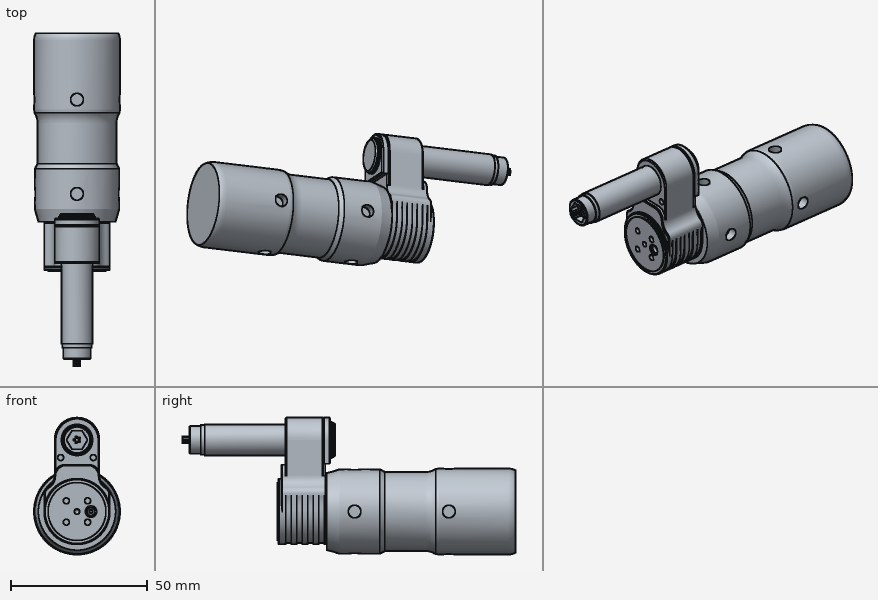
import cadquery as cq
import math

TOTAL_LENGTH = 121.7
TOTAL_HEIGHT = 50.1

SLEEVE_RADIUS = 31.5 / 2
SLEEVE_END_RADIUS = 15.1
REAR_ROUND_AT = 2.5
SLEEVE_FRONT_AT = 28.0
SHOULDER_AT = 29.2
SHOULDER_RADIUS = 15.6
WAIST_RADIUS = 14.5
WAIST_AT = 32.9
COLLAR_AT = 47.7
COLLAR_RADIUS = 15.5
COLLAR_BEVEL_END = 49.5
NOSE_AT = 64.4
NOSE_END_AT = 69.0
NOSE_END_RADIUS = 14.1
SIDE_HOLE_RADIUS = 2.3
SIDE_HOLE_DEPTH = 3.7
SIDE_HOLES_AT = (24.3, 58.8)

HEAD_RADIUS = 12.0
NECK_RADIUS = 11.5
HEAD_BACK_AT = 69.5
COVER_BACK_AT = 84.1
HEAD_FRONT_AT = 85.7
COVER_BEVEL = 0.4
SHOULDER_LOW_Z = 6.6
SHOULDER_EDGE_X = 10.7
ARM_FOOT_Z = 13.1
PAD_TOP_Z = 17.2
PAD_HALF_FLAT = 4.1

GROOVE_COUNT = 4
GROOVE_FIRST_AT = 70.0
GROOVE_PITCH = 4.0
GROOVE_WIDTH = 2.0
GROOVE_FLOOR_RADIUS = 11.6
GROOVE_RUNOUT_Z = 2.5
GROOVE_TOP_Z = 5.8

DISC_FRONT_AT = 86.8
DISC_FACE_RADIUS = 10.6
FACE_FRONT_AT = 87.1
DISC_BEVEL = 0.4
FACE_HOLE_OFFSET = 3.9
FACE_HOLE_RADIUS = 1.1
FACE_HOLE_DEPTH = 1.8
CENTRE_HOLE_RADIUS = 1.0
SOCKET_X = 5.1
SOCKET_RADIUS = 2.1
SOCKET_DEPTH = 0.7
SOCKET_CONE_RADIUS = 1.5
SOCKET_PILOT_RADIUS = 0.6
SOCKET_CONE_DEPTH = 1.0

ARM_RADIUS = 16.4 / 2
HANDLE_Z = TOTAL_HEIGHT - SLEEVE_RADIUS - ARM_RADIUS
ARM_BACK_AT = 70.3
ARM_BEVEL = 0.5
SEAM_DEPTH = 0.4
LID_BACK_AT = 67.7
LID_BOTTOM_Z = 17.4
ARM_HOLE_X = 6.0
ARM_HOLE_Z = 19.7
ARM_HOLE_RADIUS = 1.1
ARM_HOLE_DEPTH = 2.4

CAP_BACK_AT = 66.0
CAP_RADIUS = 6.3
CAP_BEVEL = 0.6
CAP_STEP_AT = 67.2
CAP_STEP_RADIUS = 6.7
TUBE_RADIUS = 5.7
TUBE_FRONT_AT = 113.5
RING_RADIUS = 5.5
RING_FRONT_AT = 115.0
PLUG_RADIUS = 5.1
PLUG_FRONT_AT = 119.1
PLUG_BEVEL = 0.4
PLUG_SOCKET_WIDTH = 7.7
PLUG_SOCKET_DEPTH = 3.0
PIN_COUNT = 5
PIN_RADIUS = 0.4
PIN_CIRCLE_RADIUS = 1.0


def section_at(distance):
    """Workplane square to the barrel axis; extruding it runs toward the pins."""
    return cq.Workplane("XZ", origin=(0, -distance, 0))


def turned(profile):
    """Solid of revolution about Y from (radius, distance) points."""
    points = [(radius, -distance) for radius, distance in profile]
    return cq.Workplane("XY").polyline(points).close().revolve(360, (0, 0), (0, 1))


def make_barrel():
    barrel = (
        cq.Workplane("XY")
        .moveTo(0, -NOSE_END_AT)
        .lineTo(NOSE_END_RADIUS, -NOSE_END_AT)
        .lineTo(COLLAR_RADIUS, -NOSE_AT)
        .lineTo(COLLAR_RADIUS, -COLLAR_BEVEL_END)
        .lineTo(WAIST_RADIUS, -COLLAR_AT)
        .lineTo(WAIST_RADIUS, -WAIST_AT)
        .tangentArcPoint((SHOULDER_RADIUS, -SHOULDER_AT), relative=False)
        .lineTo(SLEEVE_RADIUS, -SLEEVE_FRONT_AT)
        .lineTo(SLEEVE_RADIUS, -REAR_ROUND_AT)
        .tangentArcPoint((SLEEVE_END_RADIUS, 0), relative=False)
        .lineTo(0, 0)
        .close()
        .revolve(360, (0, 0), (0, 1))
    )
    drill = (
        cq.Workplane("XY")
        .workplane(offset=COLLAR_RADIUS - SIDE_HOLE_DEPTH)
        .pushPoints([(0, -distance) for distance in SIDE_HOLES_AT])
        .circle(SIDE_HOLE_RADIUS)
        .extrude(2 * SIDE_HOLE_DEPTH)
    )
    for quarter in range(4):
        barrel = barrel.cut(drill.rotate((0, 0, 0), (0, 1, 0), 90 * quarter))
    return barrel


def half_head_outline(distance):
    """Right half of the head up to the arm foot: round bottom, flat side, S-shaped shoulder."""
    half_turn = math.atan((HEAD_RADIUS - ARM_RADIUS) / (ARM_FOOT_Z - SHOULDER_LOW_Z))
    edge_z = SHOULDER_LOW_Z + (HEAD_RADIUS - SHOULDER_EDGE_X) / math.tan(half_turn)
    return (
        section_at(distance)
        .moveTo(0, -HEAD_RADIUS)
        .radiusArc((HEAD_RADIUS, 0), -HEAD_RADIUS)
        .lineTo(HEAD_RADIUS, SHOULDER_LOW_Z)
        .tangentArcPoint((SHOULDER_EDGE_X, edge_z), relative=False)
        .tangentArcPoint((ARM_RADIUS, ARM_FOOT_Z), relative=False)
    )


def with_mirror(half):
    return half.union(half.mirror("YZ"))


def make_head():
    half_head = half_head_outline(HEAD_BACK_AT).lineTo(0, ARM_FOOT_Z).close()
    head = with_mirror(half_head.extrude(COVER_BACK_AT - HEAD_BACK_AT))
    neck = section_at(NOSE_END_AT).circle(NECK_RADIUS).extrude(HEAD_BACK_AT - NOSE_END_AT)
    return head.union(neck).cut(make_grooves())


def make_cover():
    """Front plate of the head, with a round-cornered pad rising over the arm."""
    half_cover = (
        half_head_outline(COVER_BACK_AT)
        .tangentArcPoint((PAD_HALF_FLAT, PAD_TOP_Z), relative=False)
        .lineTo(0, PAD_TOP_Z)
        .close()
        .extrude(HEAD_FRONT_AT - COVER_BACK_AT)
    )
    return with_mirror(half_cover).faces("<Y").chamfer(COVER_BEVEL)


def make_grooves():
    """Grooves around the round bottom that run out to the surface on the flat sides."""
    outer_x = 2 * HEAD_RADIUS
    grooves = cq.Workplane("XY")
    for index in range(GROOVE_COUNT):
        half_groove = (
            section_at(GROOVE_FIRST_AT + index * GROOVE_PITCH)
            .moveTo(0, -GROOVE_FLOOR_RADIUS)
            .radiusArc((GROOVE_FLOOR_RADIUS, 0), -GROOVE_FLOOR_RADIUS)
            .lineTo(GROOVE_FLOOR_RADIUS, GROOVE_RUNOUT_Z)
            .tangentArcPoint((HEAD_RADIUS, GROOVE_TOP_Z), relative=False)
            .lineTo(outer_x, GROOVE_TOP_Z)
            .lineTo(outer_x, -outer_x)
            .lineTo(0, -outer_x)
            .close()
            .extrude(GROOVE_WIDTH)
        )
        grooves = grooves.union(with_mirror(half_groove))
    return grooves


def make_disc():
    disc_back_at = HEAD_FRONT_AT - COVER_BEVEL
    disc = section_at(disc_back_at).circle(HEAD_RADIUS).extrude(DISC_FRONT_AT - disc_back_at)
    disc = disc.faces("<Y").chamfer(DISC_BEVEL)
    face = section_at(DISC_FRONT_AT).circle(DISC_FACE_RADIUS).extrude(FACE_FRONT_AT - DISC_FRONT_AT)
    return disc.union(face)


def make_disc_holes():
    screw_holes = (
        section_at(FACE_FRONT_AT)
        .rect(2 * FACE_HOLE_OFFSET, 2 * FACE_HOLE_OFFSET, forConstruction=True)
        .vertices()
        .circle(FACE_HOLE_RADIUS)
        .extrude(-FACE_HOLE_DEPTH)
    )
    centre_hole = turned([
        (0, FACE_FRONT_AT - CENTRE_HOLE_RADIUS),
        (CENTRE_HOLE_RADIUS, FACE_FRONT_AT),
        (0, FACE_FRONT_AT),
    ])
    counterbore_at = FACE_FRONT_AT - SOCKET_DEPTH
    cone_at = counterbore_at - SOCKET_CONE_DEPTH
    pilot_at = cone_at - SOCKET_DEPTH
    socket = turned([
        (0, pilot_at),
        (SOCKET_PILOT_RADIUS, pilot_at),
        (SOCKET_PILOT_RADIUS, cone_at),
        (SOCKET_CONE_RADIUS, counterbore_at),
        (SOCKET_RADIUS, counterbore_at),
        (SOCKET_RADIUS, FACE_FRONT_AT),
        (0, FACE_FRONT_AT),
    ])
    return screw_holes.union(centre_hole).union(socket.translate((SOCKET_X, 0, 0)))


def arch(back_at, front_at, bottom_z):
    """Plate as wide as the arm with a half-round top centred on the handle."""
    return (
        section_at(back_at)
        .moveTo(-ARM_RADIUS, bottom_z)
        .lineTo(ARM_RADIUS, bottom_z)
        .lineTo(ARM_RADIUS, HANDLE_Z)
        .radiusArc((-ARM_RADIUS, HANDLE_Z), -ARM_RADIUS)
        .close()
        .extrude(front_at - back_at)
    )


def make_arm():
    """Upright carrying the handle; bevels leave a V-shaped seam between it and its rear lid."""
    foot = (
        section_at(HEAD_BACK_AT)
        .center(0, (ARM_FOOT_Z + LID_BOTTOM_Z) / 2)
        .rect(2 * (ARM_RADIUS - SEAM_DEPTH), LID_BOTTOM_Z - ARM_FOOT_Z)
        .extrude(ARM_BACK_AT - HEAD_BACK_AT)
    )
    arm = arch(ARM_BACK_AT, COVER_BACK_AT, ARM_FOOT_Z)
    arm = arm.faces("<Y").edges("not <Z").chamfer(ARM_BEVEL)
    arm = arm.faces(">Y").edges("not <Z").chamfer(SEAM_DEPTH)
    lid = arch(LID_BACK_AT, ARM_BACK_AT, LID_BOTTOM_Z)
    lid = lid.faces(">Y").chamfer(ARM_BEVEL)
    lid = lid.faces("<Y").edges("not <Z").chamfer(SEAM_DEPTH)
    screw_holes = (
        section_at(COVER_BACK_AT)
        .pushPoints([(-ARM_HOLE_X, ARM_HOLE_Z), (ARM_HOLE_X, ARM_HOLE_Z)])
        .circle(ARM_HOLE_RADIUS)
        .extrude(-ARM_HOLE_DEPTH)
    )
    return arm.union(foot).union(lid).cut(screw_holes)


def make_handle():
    handle = turned([
        (0, CAP_BACK_AT),
        (CAP_RADIUS - CAP_BEVEL, CAP_BACK_AT),
        (CAP_RADIUS, CAP_BACK_AT + CAP_BEVEL),
        (CAP_RADIUS, CAP_STEP_AT),
        (CAP_STEP_RADIUS, CAP_STEP_AT),
        (CAP_STEP_RADIUS, LID_BACK_AT),
        (TUBE_RADIUS, LID_BACK_AT),
        (TUBE_RADIUS, TUBE_FRONT_AT),
        (RING_RADIUS, TUBE_FRONT_AT),
        (RING_RADIUS, RING_FRONT_AT),
        (PLUG_RADIUS, RING_FRONT_AT),
        (PLUG_RADIUS, PLUG_FRONT_AT - PLUG_BEVEL),
        (PLUG_RADIUS - PLUG_BEVEL, PLUG_FRONT_AT),
        (0, PLUG_FRONT_AT),
    ])
    plug_socket = section_at(PLUG_FRONT_AT).polygon(6, PLUG_SOCKET_WIDTH).extrude(-PLUG_SOCKET_DEPTH)
    floor_at = PLUG_FRONT_AT - PLUG_SOCKET_DEPTH
    pins = (
        section_at(floor_at)
        .polarArray(PIN_CIRCLE_RADIUS, 180, 360, PIN_COUNT)
        .circle(PIN_RADIUS)
        .extrude(TOTAL_LENGTH - floor_at)
    )
    return handle.cut(plug_socket).union(pins).translate((0, 0, HANDLE_Z))


head = make_head().union(make_cover()).union(make_disc()).cut(make_disc_holes())
result = make_barrel().union(head).union(make_arm()).union(make_handle())